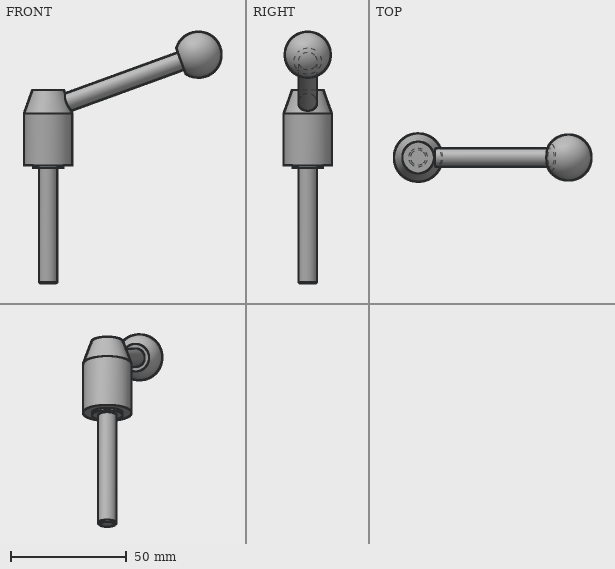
import cadquery as cq
import math

stud_diameter = 8.1
stud_length = 50.0
stud_chamfer = 0.8

collar_diameter = 13.3
collar_height = 1.1
hub_diameter = 21.0
hub_body_height = 22.3
hub_top_diameter = 13.7
hub_taper_height = 10.2

lever_diameter = 8.1
lever_angle = 20.0
ball_diameter = 20.0
ball_flat_distance = 8.1
total_length = 85.5
total_height = 108.8

ball_radius = ball_diameter / 2
ball_x = total_length - hub_diameter / 2 - ball_radius
ball_z = total_height - ball_radius
lever_slope = math.radians(lever_angle)
lever_start_z = ball_z - ball_x * math.tan(lever_slope)
lever_length = ball_x / math.cos(lever_slope)


def make_stud():
    """Plain stud with a chamfered lower end, reaching up to the collar."""
    stud = cq.Workplane("XY").circle(stud_diameter / 2).extrude(stud_length)
    return stud.faces("<Z").chamfer(stud_chamfer)


def make_hub():
    """Collar, body and taper as one revolved profile in the XZ plane."""
    body_bottom_z = stud_length + collar_height
    body_top_z = body_bottom_z + hub_body_height
    top_z = body_top_z + hub_taper_height
    return (
        cq.Workplane("XZ")
        .moveTo(0, stud_length)
        .lineTo(collar_diameter / 2, stud_length)
        .lineTo(collar_diameter / 2, body_bottom_z)
        .lineTo(hub_diameter / 2, body_bottom_z)
        .lineTo(hub_diameter / 2, body_top_z)
        .lineTo(hub_top_diameter / 2, top_z)
        .lineTo(0, top_z)
        .close()
        .revolve(360, (0, 0, 0), (0, 1, 0))
    )


def make_lever():
    """Rod and ball along the inclined axis; the ball has a flat facing the hub."""
    axis = cq.Plane(
        origin=(0, 0, lever_start_z),
        xDir=(0, 1, 0),
        normal=(math.cos(lever_slope), 0, math.sin(lever_slope)),
    )
    rod = cq.Workplane(axis).circle(lever_diameter / 2).extrude(lever_length)
    flat_radius = math.sqrt(ball_radius**2 - ball_flat_distance**2)
    flat_place = lever_length - ball_flat_distance
    section = cq.Plane(
        origin=(0, 0, lever_start_z),
        xDir=(0, 1, 0),
        normal=(-math.sin(lever_slope), 0, math.cos(lever_slope)),
    )
    ball = (
        cq.Workplane(section)
        .moveTo(0, -flat_place)
        .lineTo(flat_radius, -flat_place)
        .threePointArc((ball_radius, -lever_length), (0, -lever_length - ball_radius))
        .close()
        .revolve(360, (0, 0, 0), (0, 1, 0))
    )
    return rod.union(ball)


result = make_stud().union(make_hub()).union(make_lever())